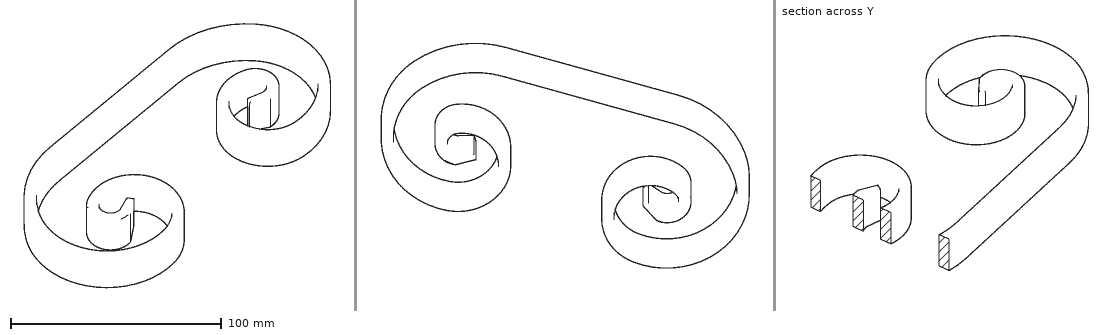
import cadquery as cq
import math

LENGTH = 180.0
WIDTH = 82.6
HEIGHT = 20.0
THICKNESS = 6.0
EDGE_ROUND = 0.5

BENDS = [(46.0, 53.5), (36.0, 36.5), (36.5, 96), (22.3, 79), (20.3, 119.5), (8.5, 164.5)]

TIP_LENGTH = 10.3
TIP_WIDTH = 3.5
TIP_DIRECTION = 237.0

half_thickness = THICKNESS / 2


def polar(origin, distance, angle):
    """Point at a distance and angle (degrees) from an origin."""
    return (
        origin[0] + distance * math.cos(math.radians(angle)),
        origin[1] + distance * math.sin(math.radians(angle)),
    )


def bend_arcs(start):
    """Tangent bends of the scroll as (centre, radius, start angle, end angle)."""
    arcs = []
    point = start
    angle = 180.0
    for radius, sweep in BENDS:
        centre = polar(point, -radius, angle)
        arcs.append((centre, radius, angle, angle - sweep))
        angle -= sweep
        point = polar(centre, radius, angle)
    return arcs


first_radius, first_sweep = BENDS[0]
second_radius = BENDS[1][0]
centre_rise = (first_radius - second_radius) * math.sin(math.radians(first_sweep))
straight_half = LENGTH / 2 - half_thickness - second_radius - centre_rise
back_x = -WIDTH / 2 + half_thickness


def scroll_half():
    """Bar for y >= 0: half of the straight back, the bends and the tapered tip."""
    arcs = bend_arcs((back_x, straight_half))
    profile = cq.Workplane("XY").moveTo(back_x - half_thickness, 0)
    profile = profile.lineTo(back_x - half_thickness, straight_half)
    for centre, radius, first, last in arcs:
        outer = radius + half_thickness
        profile = profile.threePointArc(polar(centre, outer, (first + last) / 2), polar(centre, outer, last))

    centre, radius, first, last = arcs[-1]
    tip_outer = polar(polar(centre, radius + half_thickness, last), TIP_LENGTH, TIP_DIRECTION)
    tip_inner = polar(tip_outer, TIP_WIDTH, TIP_DIRECTION - 90)
    profile = profile.lineTo(*tip_outer).lineTo(*tip_inner)
    profile = profile.lineTo(*polar(centre, radius - half_thickness, last))

    for centre, radius, first, last in reversed(arcs):
        inner = radius - half_thickness
        profile = profile.threePointArc(polar(centre, inner, (first + last) / 2), polar(centre, inner, first))
    profile = profile.lineTo(back_x + half_thickness, 0).close()
    return profile.extrude(HEIGHT / 2, both=True)


half = scroll_half()
half = half.faces("|Z").edges("not <Y").fillet(EDGE_ROUND)
result = half.union(half.mirror("XZ"))